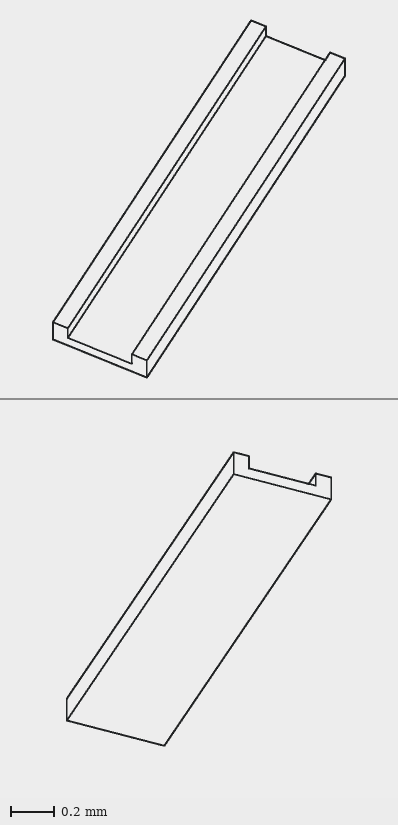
import cadquery as cq

length = 2.0
width = 0.49
height = 0.13

rail_width = 0.078
floor_thickness = 0.058

groove_width = width - 2 * rail_width
groove_depth = height - floor_thickness

bar = cq.Workplane("XY").box(width, length, height, centered=(True, True, False))

groove = (
    cq.Workplane("XY")
    .workplane(offset=floor_thickness)
    .box(groove_width, length, groove_depth, centered=(True, True, False))
)

result = bar.cut(groove)